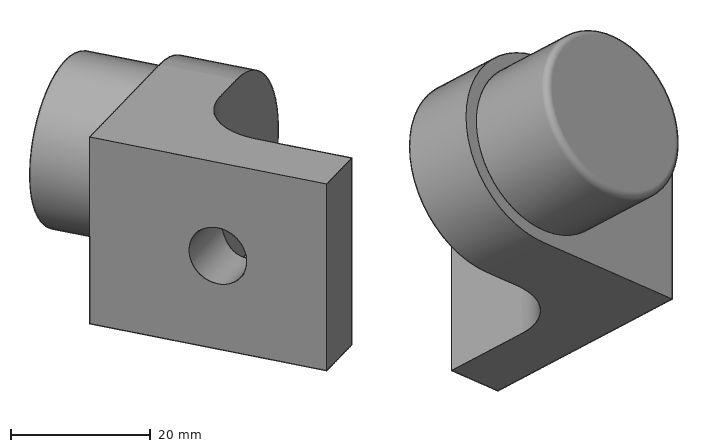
import cadquery as cq

total_length = 52.0
bracket_depth = 40.0
bracket_height = 30.0

bumper_length = 15.0
bumper_diameter = 26.0
bumper_edge_radius = 1.0

upright_thickness = 12.0
foot_thickness = 9.0
corner_radius = 10.0
hole_diameter = 9.0
hole_offset = 20.0

bracket_length = total_length - bumper_length
end_radius = bracket_height / 2
bumper_axis_y = bracket_depth - end_radius


def make_bracket():
    """L-bracket with its -X face at X = 0, its -Y face at Y = 0, centred on Z = 0."""
    l_shape = (
        cq.Workplane("XY")
        .moveTo(0, 0)
        .lineTo(bracket_length, 0)
        .lineTo(bracket_length, foot_thickness)
        .lineTo(upright_thickness + corner_radius, foot_thickness)
        .radiusArc((upright_thickness, foot_thickness + corner_radius), corner_radius)
        .lineTo(upright_thickness, bracket_depth)
        .lineTo(0, bracket_depth)
        .close()
        .extrude(end_radius, both=True)
    )
    rounded_end = (
        cq.Workplane("YZ")
        .moveTo(0, -end_radius)
        .lineTo(bumper_axis_y, -end_radius)
        .threePointArc((bracket_depth, 0), (bumper_axis_y, end_radius))
        .lineTo(0, end_radius)
        .close()
        .extrude(bracket_length)
    )
    hole = (
        cq.Workplane("XZ")
        .center(hole_offset, 0)
        .circle(hole_diameter / 2)
        .extrude(-bracket_depth)
    )
    return l_shape.intersect(rounded_end).cut(hole)


def make_bumper():
    """Round button seated on the bracket face, with a rounded outer rim."""
    return (
        cq.Workplane("YZ")
        .center(bumper_axis_y, 0)
        .circle(bumper_diameter / 2)
        .extrude(-bumper_length)
        .faces("<X")
        .edges()
        .fillet(bumper_edge_radius)
    )


bracket = make_bracket()
bumper = make_bumper()

result = cq.Compound.makeCompound([bracket.val(), bumper.val()])